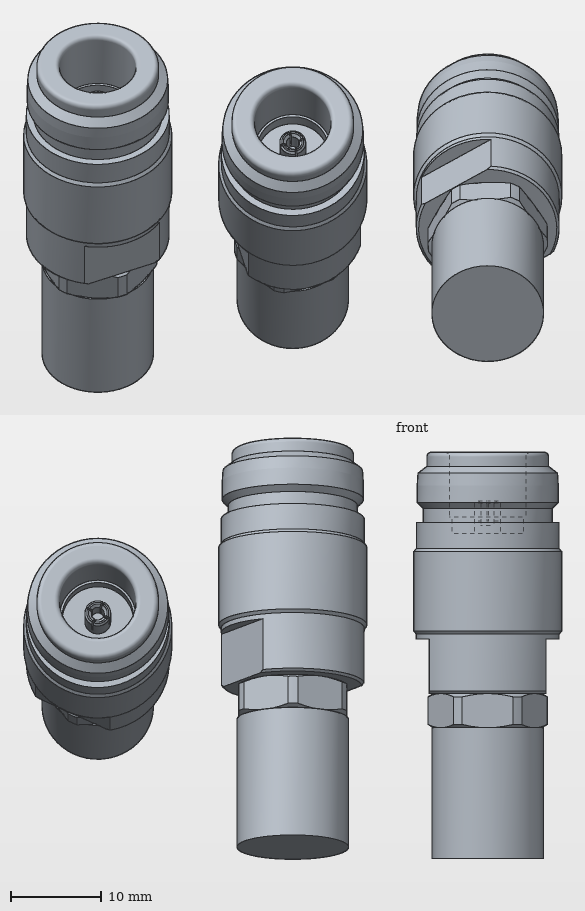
import cadquery as cq
import math

TOTAL_HEIGHT = 45.15
TUBE_TOP = 14.55
NUT_TOP = 18.35
BODY_TOP = 24.92
SLEEVE_TOP = 34.45
COLLAR_TOP = 37.35
GROOVE_TOP = 38.87

TUBE_DIAMETER = 12.4
NUT_ACROSS_FLATS = 12.0
NUT_CORNER_RADIUS = 6.65
NUT_TURN_ANGLE = 30
NUT_CHAMFER_ANGLE = 30

BODY_RADIUS = 7.95
BODY_CHAMFER = 0.25
FLAT_DISTANCE = 6.5
FLAT_TOP = 24.4

SLEEVE_DIAMETER = 16.5
SLEEVE_RADIUS = SLEEVE_DIAMETER / 2
SLEEVE_CHAMFER_HEIGHT = 0.35

GROOVE_RADIUS = 7.2
THREAD_RADIUS = 7.85
THREAD_TAPER_RADIUS = 7.75
THREAD_TAPER_BOTTOM = 41.4
THREAD_TAPER_TOP = 42.8
LIP_RADIUS = 6.75
LIP_BOTTOM = 43.55
LIP_ROUND = 0.55

SOCKET_RADIUS = 4.25
SOCKET_STEP_RADIUS = 3.97
SOCKET_STEP_DEPTH = 7.22
SOCKET_DEPTH = 9.05
MOUTH_ROUND = 0.55

PIN_RADIUS = 1.45
PIN_HEIGHT = 3.6
PIN_CHAMFER = 0.23
PIN_HOLE_RADIUS = 0.7
PIN_HOLE_DEPTH = 2.7
PIN_COUNTERSINK = 0.3
PIN_SLOT_WIDTH = 0.2
PIN_SLOT_DEPTH = 2.25


def cylinder(radius, bottom, top):
    return cq.Workplane("XY").workplane(offset=bottom).circle(radius).extrude(top - bottom)


def revolve_about_z(points):
    return cq.Workplane("XZ").polyline(points).close().revolve(360, (0, 0, 0), (0, 1, 0))


def make_nut():
    """Hexagon with corners on the X axis, trimmed to a cylinder chamfered at both ends."""
    flat_radius = NUT_ACROSS_FLATS / 2
    chamfer = (NUT_CORNER_RADIUS - flat_radius) * math.tan(math.radians(NUT_CHAMFER_ANGLE))
    trim = revolve_about_z([
        (0, TUBE_TOP),
        (flat_radius, TUBE_TOP),
        (NUT_CORNER_RADIUS, TUBE_TOP + chamfer),
        (NUT_CORNER_RADIUS, NUT_TOP - chamfer),
        (flat_radius, NUT_TOP),
        (0, NUT_TOP),
    ])
    hexagon = (
        cq.Workplane("XY")
        .workplane(offset=TUBE_TOP)
        .polygon(6, NUT_ACROSS_FLATS, circumscribed=True)
        .extrude(NUT_TOP - TUBE_TOP)
        .rotate((0, 0, 0), (0, 0, 1), NUT_TURN_ANGLE)
    )
    return hexagon.intersect(trim)


def make_wrench_body():
    body = cylinder(BODY_RADIUS, NUT_TOP, BODY_TOP).faces("<Z").chamfer(BODY_CHAMFER)
    between_flats = (
        cq.Workplane("XY")
        .workplane(offset=NUT_TOP)
        .rect(2 * FLAT_DISTANCE, 2 * BODY_RADIUS)
        .extrude(FLAT_TOP - NUT_TOP)
    )
    return body.intersect(between_flats.union(cylinder(BODY_RADIUS, FLAT_TOP, BODY_TOP)))


def make_upper_shell():
    """Sleeve, collar, groove, thread band and lip as one turned profile."""
    undercut_chamfer = THREAD_RADIUS - GROOVE_RADIUS
    return revolve_about_z([
        (0, BODY_TOP),
        (BODY_RADIUS, BODY_TOP),
        (SLEEVE_RADIUS, BODY_TOP + SLEEVE_CHAMFER_HEIGHT),
        (SLEEVE_RADIUS, SLEEVE_TOP - SLEEVE_CHAMFER_HEIGHT),
        (BODY_RADIUS, SLEEVE_TOP),
        (BODY_RADIUS, COLLAR_TOP),
        (GROOVE_RADIUS, COLLAR_TOP),
        (GROOVE_RADIUS, GROOVE_TOP),
        (THREAD_RADIUS, GROOVE_TOP + undercut_chamfer),
        (THREAD_RADIUS, THREAD_TAPER_BOTTOM),
        (THREAD_TAPER_RADIUS, THREAD_TAPER_TOP),
        (LIP_RADIUS, LIP_BOTTOM),
        (LIP_RADIUS, TOTAL_HEIGHT),
        (0, TOTAL_HEIGHT),
    ]).faces(">Z").edges().fillet(LIP_ROUND)


def cut_socket(part):
    step_height = TOTAL_HEIGHT - SOCKET_STEP_DEPTH
    part = part.cut(cylinder(SOCKET_RADIUS, step_height, TOTAL_HEIGHT))
    part = part.faces(">Z").edges(cq.selectors.RadiusNthSelector(0)).fillet(MOUTH_ROUND)
    return part.cut(cylinder(SOCKET_STEP_RADIUS, TOTAL_HEIGHT - SOCKET_DEPTH, step_height))


def make_pin():
    """Hollow pin, countersunk and cut into four fingers by crossed slots."""
    floor = TOTAL_HEIGHT - SOCKET_DEPTH
    tip = floor + PIN_HEIGHT
    pin = cylinder(PIN_RADIUS, floor, tip).faces(">Z").chamfer(PIN_CHAMFER)
    pin = pin.cut(cylinder(PIN_HOLE_RADIUS, tip - PIN_HOLE_DEPTH, tip))
    pin = pin.faces(">Z").edges(cq.selectors.RadiusNthSelector(0)).chamfer(PIN_COUNTERSINK)
    for angle in (0, 90):
        slot = (
            cq.Workplane("XY")
            .box(2 * PIN_RADIUS, PIN_SLOT_WIDTH, PIN_SLOT_DEPTH)
            .translate((0, 0, tip - PIN_SLOT_DEPTH / 2))
            .rotate((0, 0, 0), (0, 0, 1), angle)
        )
        pin = pin.cut(slot)
    return pin


tube = cylinder(TUBE_DIAMETER / 2, 0, TUBE_TOP)
shell = cut_socket(make_upper_shell())
result = tube.union(make_nut()).union(make_wrench_body()).union(shell).union(make_pin())